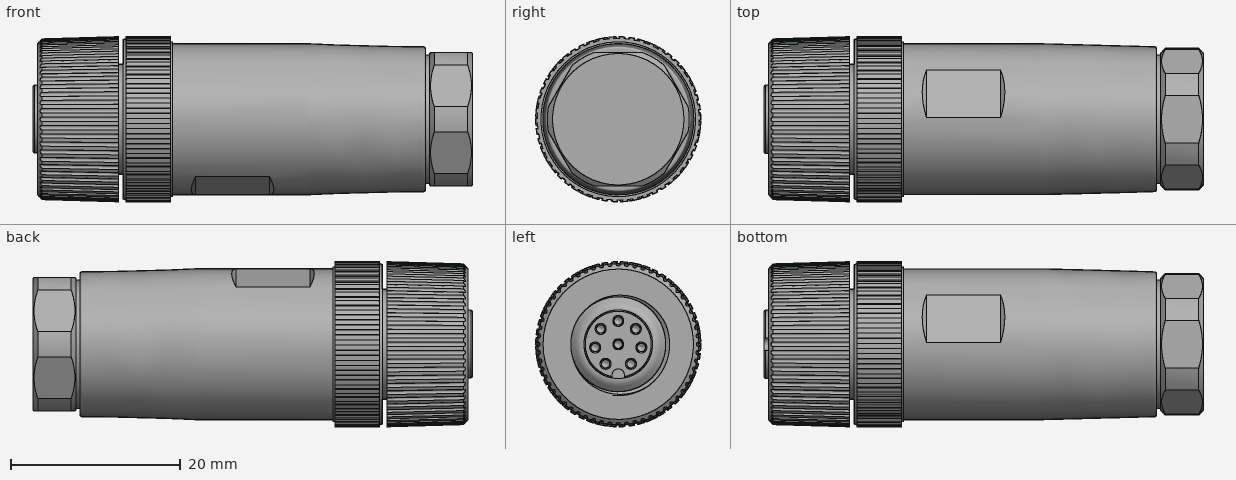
import cadquery as cq
import math

TOTAL_LENGTH = 51.8
COLLAR_FRONT = 0.5
COLLAR_KNURL_START = 1.1
COLLAR_REAR = 10.1
RING_FRONT = 10.6
RING_REAR = 16.2
BODY_TAPER_START = 32.55
BODY_REAR = 46.25
NUT_FRONT = 46.7

COLLAR_FACE_RADIUS = 8.85
COLLAR_FRONT_RADIUS = 9.5
COLLAR_REAR_RADIUS = 9.75
COLLAR_GROOVES = 60
COLLAR_GROOVE_DIAMETER = 0.5

RING_RADIUS = 9.75
RING_RIM_LENGTH = 0.35
RING_RIM_RADIUS = 9.4
RING_GROOVES = 50
RING_GROOVE_DEPTH = 0.2
RING_GROOVE_PHASE = 1.2
RING_SHOULDER = 0.25
RING_SHOULDER_RADIUS = 9.1

NECK_RADIUS = 13.0 / 2
BODY_RADIUS = 8.9
BODY_REAR_RADIUS = 8.55
BODY_REAR_FILLET = 0.25
REAR_NECK_RADIUS = 15.2 / 2

FLAT_TILT = 21.0
FLAT_WIDTH = 6.0
FLAT_START = 19.15
FLAT_LENGTH = 8.7
FLAT_END_SLOPE = 0.5

NUT_ACROSS_FLATS = 15.75
NUT_CORNER_RADIUS = 8.365
NUT_END_RADIUS = 15.5 / 2
NUT_CHAMFER = 0.55

BORE_RADIUS = 11.2 / 2
BORE_FLOOR = 6.75
THREAD_MAJOR_RADIUS = 6.05
THREAD_PITCH = 1.0
THREAD_END = 4.65
THREAD_MOUTH_WIDTH = 0.9
THREAD_ROOT_WIDTH = 0.2
THREAD_RUNIN = 0.05
THREAD_PHASE = 105.0

INSERT_RADIUS = 8.1 / 2
INSERT_CHAMFER = 0.15
SEAL_ROUND_RADIUS = 1.3
SEAL_HEIGHT = 1.05
SEAL_CONE_ANGLE = 45.0
KEYWAY_WIDTH = 1.45
KEYWAY_TOP = 2.9
CONTACT_CIRCLE_RADIUS = 2.75
OUTER_CONTACTS = 7
CONTACT_STEP = 49.0
CONTACT_HOLE_DIAMETER = 1.0
CONTACT_MOUTH_DIAMETER = 1.3
CONTACT_HOLE_DEPTH = 2.05
CONTACT_TIP_ANGLE = 118.0

OVERLAP = 0.5


def turned(points):
    """Solid of revolution about X from (x, radius) points."""
    return cq.Workplane("XY").polyline(points).close().revolve(360, (0, 0, 0), (1, 0, 0))


def spun(tool, count, phase=0.0):
    """Compound of a tool repeated evenly around the X axis."""
    step = 360.0 / count
    copies = [tool.rotate((0, 0, 0), (1, 0, 0), phase + i * step).val() for i in range(count)]
    return cq.Workplane(obj=cq.Compound.makeCompound(copies))


def collar():
    blank = turned([
        (COLLAR_FRONT, 0),
        (COLLAR_FRONT, COLLAR_FACE_RADIUS),
        (COLLAR_KNURL_START, COLLAR_FRONT_RADIUS),
        (COLLAR_REAR, COLLAR_REAR_RADIUS),
        (COLLAR_REAR, 0),
    ])
    run = COLLAR_REAR - COLLAR_KNURL_START
    lean = math.degrees(math.atan2(COLLAR_REAR_RADIUS - COLLAR_FRONT_RADIUS, run))
    lead = COLLAR_KNURL_START - COLLAR_FRONT + OVERLAP
    groove = (
        cq.Workplane("YZ")
        .workplane(offset=-lead)
        .circle(COLLAR_GROOVE_DIAMETER / 2)
        .extrude(lead + run + OVERLAP)
        .rotate((0, 0, 0), (0, 1, 0), -lean)
        .translate((COLLAR_KNURL_START, 0, COLLAR_FRONT_RADIUS))
    )
    return blank.cut(spun(groove, COLLAR_GROOVES))


def grip_ring():
    groove_floor = RING_RADIUS - RING_GROOVE_DEPTH
    teeth_start = RING_FRONT + RING_RIM_LENGTH
    blank = turned([
        (RING_FRONT, 0),
        (RING_FRONT, RING_RIM_RADIUS),
        (teeth_start, groove_floor),
        (teeth_start, RING_RADIUS),
        (RING_REAR, RING_RADIUS),
        (RING_REAR, RING_SHOULDER_RADIUS),
        (RING_REAR + RING_SHOULDER, RING_SHOULDER_RADIUS),
        (RING_REAR + RING_SHOULDER, 0),
    ])
    groove_width = math.pi * RING_RADIUS / RING_GROOVES
    groove = cq.Workplane("XY").box(
        RING_REAR - RING_FRONT + 2 * OVERLAP,
        groove_width,
        RING_GROOVE_DEPTH + OVERLAP,
        centered=(False, True, False),
    ).translate((RING_FRONT - OVERLAP, 0, groove_floor))
    return blank.cut(spun(groove, RING_GROOVES, RING_GROOVE_PHASE))


def body():
    barrel = turned([
        (RING_FRONT, 0),
        (RING_FRONT, BODY_RADIUS),
        (BODY_TAPER_START, BODY_RADIUS),
        (BODY_REAR, BODY_REAR_RADIUS),
        (BODY_REAR, 0),
    ]).faces(">X").edges().fillet(BODY_REAR_FILLET)
    flat_height = math.sqrt(BODY_RADIUS ** 2 - (FLAT_WIDTH / 2) ** 2)
    depth = BODY_RADIUS - flat_height
    flat_end = FLAT_START + FLAT_LENGTH
    run = FLAT_END_SLOPE * (depth + OVERLAP) / depth
    pocket = (
        cq.Workplane("XZ")
        .polyline([
            (FLAT_START, flat_height),
            (flat_end, flat_height),
            (flat_end + run, BODY_RADIUS + OVERLAP),
            (FLAT_START - run, BODY_RADIUS + OVERLAP),
        ])
        .close()
        .extrude(BODY_RADIUS, both=True)
    )
    return barrel.cut(spun(pocket, 2, -FLAT_TILT))


def necks():
    """Narrow stems showing in the gaps before the ring and before the nut."""
    front = turned([
        (COLLAR_REAR - OVERLAP, 0),
        (COLLAR_REAR - OVERLAP, NECK_RADIUS),
        (RING_FRONT + OVERLAP, NECK_RADIUS),
        (RING_FRONT + OVERLAP, 0),
    ])
    rear = turned([
        (BODY_REAR - OVERLAP, 0),
        (BODY_REAR - OVERLAP, REAR_NECK_RADIUS),
        (NUT_FRONT + OVERLAP, REAR_NECK_RADIUS),
        (NUT_FRONT + OVERLAP, 0),
    ])
    return front, rear


def cable_nut():
    corner_diameter = NUT_ACROSS_FLATS / math.cos(math.pi / 6)
    hexagon = (
        cq.Workplane("YZ")
        .workplane(offset=NUT_FRONT)
        .polygon(6, corner_diameter)
        .extrude(TOTAL_LENGTH - NUT_FRONT)
    )
    envelope = turned([
        (NUT_FRONT, 0),
        (NUT_FRONT, NUT_END_RADIUS),
        (NUT_FRONT + NUT_CHAMFER, NUT_CORNER_RADIUS),
        (TOTAL_LENGTH - NUT_CHAMFER, NUT_CORNER_RADIUS),
        (TOTAL_LENGTH, NUT_END_RADIUS),
        (TOTAL_LENGTH, 0),
    ])
    return hexagon.intersect(envelope)


def bore():
    return turned([
        (COLLAR_FRONT - OVERLAP, 0),
        (COLLAR_FRONT - OVERLAP, BORE_RADIUS),
        (BORE_FLOOR, BORE_RADIUS),
        (BORE_FLOOR, 0),
    ])


def thread_groove():
    """Helical trapezoidal groove that opens at the collar face."""
    start = COLLAR_FRONT - THREAD_PITCH
    base_radius = BORE_RADIUS - THREAD_RUNIN
    half_mouth = THREAD_MOUTH_WIDTH / 2
    half_root = THREAD_ROOT_WIDTH / 2
    helix = cq.Wire.makeHelix(
        THREAD_PITCH, THREAD_END - start, base_radius, cq.Vector(start, 0, 0), cq.Vector(1, 0, 0)
    )
    first = helix.startPoint()
    radial = cq.Vector(0, first.y, first.z).normalized()
    plane = cq.Plane(origin=first, xDir=radial, normal=radial.cross(cq.Vector(1, 0, 0)))
    height = THREAD_MAJOR_RADIUS - base_radius
    groove = (
        cq.Workplane(plane)
        .polyline([
            (0, -half_mouth),
            (height, -half_root),
            (height, half_root),
            (0, half_mouth),
        ])
        .close()
        .sweep(cq.Workplane(obj=helix), isFrenet=True)
    )
    return groove.rotate((0, 0, 0), (1, 0, 0), THREAD_PHASE)


def seal():
    """Ring around the insert on the bore floor: rounded crest, then a tangent cone to the bore wall."""
    crest = BORE_FLOOR - SEAL_HEIGHT
    centre_x = crest + SEAL_ROUND_RADIUS

    def on_round(degrees):
        angle = math.radians(degrees)
        return (
            centre_x - SEAL_ROUND_RADIUS * math.cos(angle),
            INSERT_RADIUS + SEAL_ROUND_RADIUS * math.sin(angle),
        )

    cone_x, cone_radius = on_round(SEAL_CONE_ANGLE)
    cone_run = (BORE_RADIUS - cone_radius) * math.tan(math.radians(SEAL_CONE_ANGLE))
    return (
        cq.Workplane("XY")
        .moveTo(BORE_FLOOR + OVERLAP, INSERT_RADIUS)
        .lineTo(crest, INSERT_RADIUS)
        .threePointArc(on_round(SEAL_CONE_ANGLE / 2), (cone_x, cone_radius))
        .lineTo(cone_x + cone_run, BORE_RADIUS)
        .lineTo(BORE_FLOOR + OVERLAP, BORE_RADIUS)
        .close()
        .revolve(360, (0, 0, 0), (1, 0, 0))
    )


def contact_hole():
    """Countersunk blind hole with a drilled tip, on the X axis."""
    hole_radius = CONTACT_HOLE_DIAMETER / 2
    mouth_radius = CONTACT_MOUTH_DIAMETER / 2
    tip = hole_radius / math.tan(math.radians(CONTACT_TIP_ANGLE / 2))
    return turned([
        (0, 0),
        (0, mouth_radius),
        (mouth_radius - hole_radius, hole_radius),
        (CONTACT_HOLE_DEPTH, hole_radius),
        (CONTACT_HOLE_DEPTH + tip, 0),
    ])


def insert():
    core = turned([
        (0, 0),
        (0, INSERT_RADIUS - INSERT_CHAMFER),
        (INSERT_CHAMFER, INSERT_RADIUS),
        (BORE_FLOOR + OVERLAP, INSERT_RADIUS),
        (BORE_FLOOR + OVERLAP, 0),
    ])
    half_width = KEYWAY_WIDTH / 2
    keyway = (
        cq.Workplane("YZ")
        .moveTo(-half_width, -INSERT_RADIUS - OVERLAP)
        .lineTo(-half_width, -KEYWAY_TOP - half_width)
        .threePointArc((0, -KEYWAY_TOP), (half_width, -KEYWAY_TOP - half_width))
        .lineTo(half_width, -INSERT_RADIUS - OVERLAP)
        .close()
        .extrude(BORE_FLOOR)
    )
    core = core.cut(keyway).cut(contact_hole())
    first_angle = -CONTACT_STEP * (OUTER_CONTACTS - 1) / 2
    for i in range(OUTER_CONTACTS):
        hole = contact_hole().translate((0, 0, CONTACT_CIRCLE_RADIUS))
        core = core.cut(hole.rotate((0, 0, 0), (1, 0, 0), first_angle + i * CONTACT_STEP))
    return core


front_neck, rear_neck = necks()
result = (
    collar()
    .cut(bore())
    .cut(thread_groove())
    .union(seal())
    .union(insert())
    .union(front_neck)
    .union(grip_ring())
    .union(body())
    .union(rear_neck)
    .union(cable_nut())
)